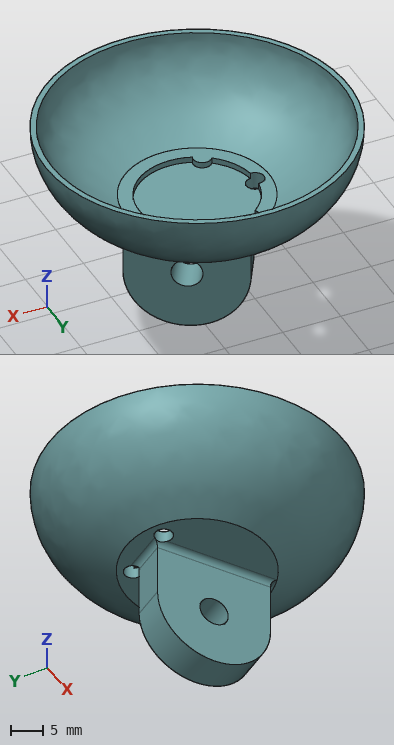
import cadquery as cq
import math

rim_radius = 26.0
inner_radius = 25.0
outer_semi_height = 18.3
inner_semi_height = 15.0
bowl_height = 16.0
floor_depth = 13.0

recess_radius = 10.0
recess_depth = 1.0

pin_diameter = 3.0
through_hole_angles = (120, 180)
post_angles = (60, 240)

total_height = 36.0
lug_width = 20.0
lug_thickness = 6.0
lug_angle = -30
lug_offset = 1.35
lug_hole_diameter = 5.0
lug_fillet = 1.0
lug_small_fillet = 0.5

lug_radius = lug_width / 2
lug_low_x = lug_offset - lug_radius
lug_high_x = lug_offset + lug_radius
lug_hole_z = lug_radius - total_height


def ellipsoid_cap(radius, semi_height, depth):
    """Ellipsoid portion between z = 0 and a flat bottom at the given depth."""
    end_angle = math.degrees(math.asin(depth / semi_height))
    return (
        cq.Workplane("XZ")
        .moveTo(0, -depth)
        .lineTo(radius * math.cos(math.radians(end_angle)), -depth)
        .ellipseArc(radius, semi_height, -end_angle, 0)
        .lineTo(0, 0)
        .close()
        .revolve(360, (0, 0, 0), (0, 1, 0))
    )


def pins(angles, top, height):
    """Vertical cylinders centred on the recess edge, hanging down from top."""
    centres = [
        (recess_radius * math.cos(math.radians(a)), recess_radius * math.sin(math.radians(a)))
        for a in angles
    ]
    return (
        cq.Workplane("XY", origin=(0, 0, top))
        .pushPoints(centres)
        .circle(pin_diameter / 2)
        .extrude(-height)
    )


def make_lug():
    """Round-ended plate in the local XZ plane, reaching up to the bowl underside."""
    return (
        cq.Workplane("XZ")
        .moveTo(lug_low_x, -bowl_height)
        .lineTo(lug_low_x, lug_hole_z)
        .threePointArc((lug_offset, -total_height), (lug_high_x, lug_hole_z))
        .lineTo(lug_high_x, -bowl_height)
        .close()
        .extrude(lug_thickness / 2, both=True)
    )


def root_edges(body, low_x, high_x):
    """Edges where the lug meets the slab, with centres in the given X range."""
    margin = 0.05
    box = cq.selectors.BoxSelector(
        (low_x - margin, -lug_thickness / 2 - margin, -bowl_height - margin),
        (high_x + margin, lug_thickness / 2 + margin, -bowl_height + margin),
    )
    return body.edges(box)


slab_height = bowl_height - floor_depth
slab = cq.Workplane("XY", origin=(0, 0, -bowl_height)).circle(rim_radius).extrude(slab_height / 2)
lug = slab.union(make_lug())
lug = root_edges(lug, lug_low_x, lug_offset).fillet(lug_fillet)
lug = root_edges(lug, lug_high_x, lug_high_x).fillet(lug_small_fillet)
underside_radius = rim_radius * math.sqrt(1 - (bowl_height / outer_semi_height) ** 2)
trim = cq.Workplane("XY", origin=(0, 0, -total_height)).circle(underside_radius).extrude(total_height)
lug = lug.intersect(trim)

lug_hole = (
    cq.Workplane("XZ", origin=(lug_offset, 0, lug_hole_z))
    .circle(lug_hole_diameter / 2)
    .extrude(lug_thickness, both=True)
)
lug = lug.cut(lug_hole).rotate((0, 0, 0), (0, 0, 1), lug_angle)

body = ellipsoid_cap(rim_radius, outer_semi_height, bowl_height).union(lug)

body = body.cut(ellipsoid_cap(inner_radius, inner_semi_height, floor_depth))
recess = cq.Workplane("XY", origin=(0, 0, -floor_depth)).circle(recess_radius).extrude(-recess_depth)
body = body.cut(recess.cut(pins(post_angles, -floor_depth, recess_depth)))

result = body.cut(pins(through_hole_angles, -floor_depth, total_height - floor_depth))